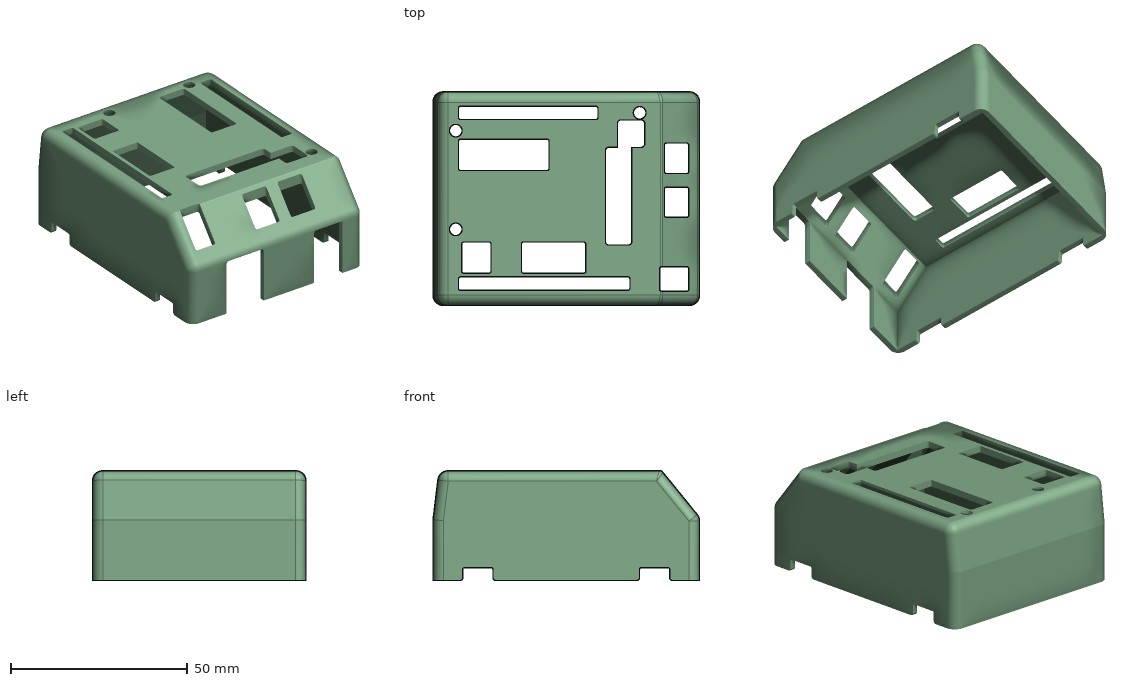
import cadquery as cq
import math

LENGTH = 75.6
WIDTH = 60.6
HEIGHT = 31.14
SIDE_WALL = 1.6
ROOF = 2.0

REAR_BEND_Z = 17.2
REAR_LEAN = 1.7
NOSE_Z = 17.9
RIDGE_X = 27.0

EDGE_RADIUS = 3.0
RIDGE_RADIUS = 0.7

SCREW_DIAMETER = 3.5
REAR_SCREW_X = -31.3
SCREW_HOLES = [
    (REAR_SCREW_X, 19.25),
    (REAR_SCREW_X, -8.7),
    (20.8, 24.3),
]

WINDOW_RADIUS = 0.5
REAR_WINDOW_X = -30.5
PIN_ROW_Y = (-21.1, -12.35)
SLOPE_WINDOW_X = (27.85, 34.7)
WINDOWS = [
    (REAR_WINDOW_X, 8.95, 22.45, 26.15),
    (REAR_WINDOW_X, 18.0, -25.95, -22.2),
    (REAR_WINDOW_X, -4.9, 8.0, 16.8),
    (-29.6, -21.35, *PIN_ROW_Y),
    (-12.65, 5.5, *PIN_ROW_Y),
    (*SLOPE_WINDOW_X, 7.15, 15.7),
    (*SLOPE_WINDOW_X, -5.25, 3.2),
    (26.5, SLOPE_WINDOW_X[1], -26.2, -19.35),
]

STEP_Y = 14.55
STEP_RADIUS = 0.9
STEP_NARROW_X = (11.15, 18.55)
STEP_WIDE_X = (14.55, 22.2)
STEP_Y_RANGE = (-13.1, 22.25)

NOTCH_X = 25.05
NOTCH_WIDTH = 8.5
NOTCH_HEIGHT = 3.6
NOTCH_RADIUS = 0.4
NOTCH_FLARE = 0.8

SOCKETS = [
    (17.85, 9.9),
    (-11.2, 13.0),
]
SOCKET_TOP_Z = 16.8
SOCKET_RADIUS = 0.8

CUT_HEIGHT = 2 * HEIGHT


def profile_solid(side_inset, top_inset):
    """Side profile extruded along Y, moved inward at the walls and at the roof; the bottom stays put."""
    half_length = LENGTH / 2
    lean = math.atan2(REAR_LEAN, HEIGHT - REAR_BEND_Z)
    slope = math.atan2(HEIGHT - NOSE_Z, half_length - RIDGE_X)
    rear_x = -half_length + side_inset
    front_x = half_length - side_inset
    top_z = HEIGHT - top_inset
    bend_z = REAR_BEND_Z - side_inset * math.tan(lean / 2)
    rear_top_x = rear_x + (top_z - bend_z) * math.tan(lean)
    ridge_x = RIDGE_X - top_inset * math.tan(slope / 2)
    nose_z = top_z - (front_x - ridge_x) * math.tan(slope)
    return (
        cq.Workplane("XZ")
        .moveTo(rear_x, 0)
        .lineTo(front_x, 0)
        .lineTo(front_x, nose_z)
        .lineTo(ridge_x, top_z)
        .lineTo(rear_top_x, top_z)
        .lineTo(rear_x, bend_z)
        .close()
        .extrude(WIDTH / 2 - side_inset, both=True)
    )


def cross_edge(body, x, z):
    """The edge that runs along Y through (x, z)."""
    return body.edges(cq.NearestToPointSelector((x, 0, z)))


def outer_body():
    body = profile_solid(0, 0)
    body = cross_edge(body, RIDGE_X, HEIGHT).fillet(RIDGE_RADIUS)
    rounded = body.faces(">Y or <Y").edges("not <Z")
    rounded = rounded.add(cross_edge(body, -LENGTH / 2 + REAR_LEAN, HEIGHT))
    rounded = rounded.add(cross_edge(body, LENGTH / 2, NOSE_Z))
    return rounded.fillet(EDGE_RADIUS)


def block(x_range, y_range):
    """Sharp upright block from the rim to above the roof."""
    x_min, x_max = x_range
    y_min, y_max = y_range
    return (
        cq.Workplane("XY")
        .center((x_min + x_max) / 2, (y_min + y_max) / 2)
        .rect(x_max - x_min, y_max - y_min)
        .extrude(CUT_HEIGHT)
    )


def rounded_block(x_range, y_range, radius):
    return block(x_range, y_range).edges("|Z").fillet(radius)


def stepped_opening():
    y_min, y_max = STEP_Y_RANGE
    narrow = rounded_block(STEP_NARROW_X, (y_min, STEP_Y), STEP_RADIUS)
    wide = rounded_block(STEP_WIDE_X, (STEP_Y, y_max), STEP_RADIUS)
    overlap = block(
        (STEP_WIDE_X[0], STEP_NARROW_X[1]),
        (STEP_Y - STEP_RADIUS, STEP_Y + STEP_RADIUS),
    )
    return narrow.union(wide).union(overlap)


def screw_holes():
    return cq.Workplane("XY").pushPoints(SCREW_HOLES).circle(SCREW_DIAMETER / 2).extrude(CUT_HEIGHT)


def notch(x_centre):
    """Notch through both side walls, rounded above and flared at the rim."""
    half = NOTCH_WIDTH / 2
    flared_half = half + NOTCH_FLARE
    straight_half = half - NOTCH_RADIUS
    corner_z = NOTCH_HEIGHT - NOTCH_RADIUS
    return (
        cq.Workplane("XZ")
        .center(x_centre, 0)
        .moveTo(-flared_half, 0)
        .radiusArc((-half, NOTCH_FLARE), -NOTCH_FLARE)
        .lineTo(-half, corner_z)
        .radiusArc((-straight_half, NOTCH_HEIGHT), NOTCH_RADIUS)
        .lineTo(straight_half, NOTCH_HEIGHT)
        .radiusArc((half, corner_z), NOTCH_RADIUS)
        .lineTo(half, NOTCH_FLARE)
        .radiusArc((flared_half, 0), -NOTCH_FLARE)
        .close()
        .extrude(WIDTH, both=True)
    )


def socket(y_centre, width):
    """Connector opening through the +X wall, from the rim up to SOCKET_TOP_Z."""
    return (
        cq.Workplane("XY")
        .box(2 * SIDE_WALL, width, SOCKET_TOP_Z, centered=(True, True, False))
        .edges("|X and >Z")
        .fillet(SOCKET_RADIUS)
        .translate((LENGTH / 2 - SIDE_WALL / 2, y_centre, 0))
    )


result = outer_body().cut(profile_solid(SIDE_WALL, ROOF))

for x_min, x_max, y_min, y_max in WINDOWS:
    result = result.cut(rounded_block((x_min, x_max), (y_min, y_max), WINDOW_RADIUS))
result = result.cut(stepped_opening())
result = result.cut(screw_holes())

for side in (-1, 1):
    result = result.cut(notch(side * NOTCH_X))
for y_centre, width in SOCKETS:
    result = result.cut(socket(y_centre, width))